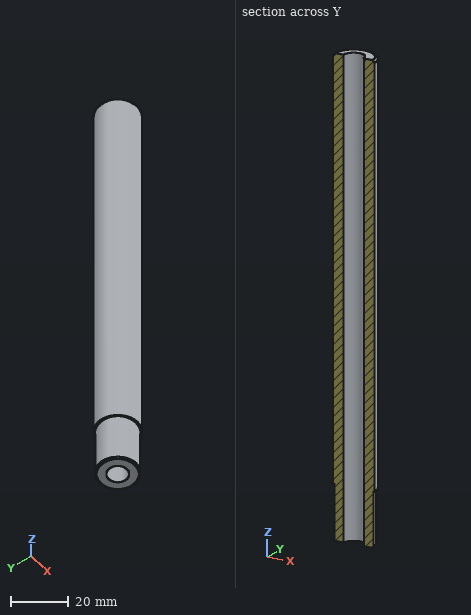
import cadquery as cq

total_length = 181.0
body_diameter = 17.0
spigot_diameter = 16.0
spigot_length = 21.0
bore_diameter = 8.0
top_chamfer = 0.9
bottom_chamfer = 0.5

spigot = cq.Workplane("XY").circle(spigot_diameter / 2).extrude(spigot_length)
body = (
    cq.Workplane("XY")
    .workplane(offset=spigot_length)
    .circle(body_diameter / 2)
    .extrude(total_length - spigot_length)
)
shaft = spigot.union(body)

shaft = shaft.faces(">Z").chamfer(top_chamfer)
shaft = shaft.faces("<Z").chamfer(bottom_chamfer)

bore = cq.Workplane("XY").circle(bore_diameter / 2).extrude(total_length)
result = shaft.cut(bore)